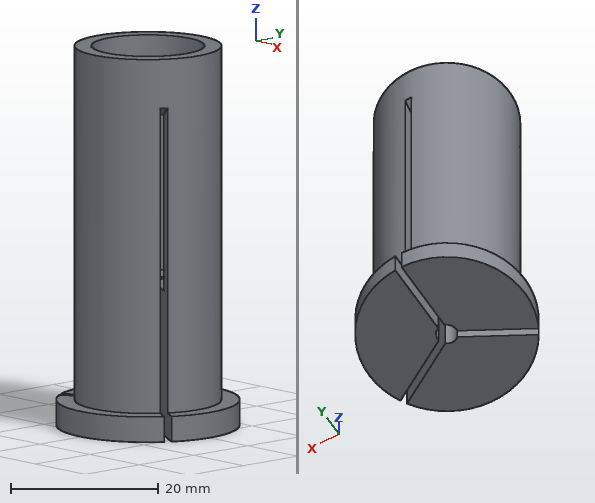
import cadquery as cq
import math

total_height = 52.5
flange_diameter = 25.0
flange_height = 3.5
body_diameter = 20.0

bore_diameter = 15.4
floor_height = 20.0
centre_hole_diameter = 3.0

slot_count = 3
slot_width = 1.0
slot_top = total_height - 6.75
slot_end_slope = 30.0
first_slot_angle = 90.0


def cylinder(diameter, bottom, top):
    return cq.Workplane("XY").workplane(offset=bottom).circle(diameter / 2).extrude(top - bottom)


def radial_slot(angle):
    """Cutter from the axis out past the flange; its end slopes down toward the axis."""
    body_radius = body_diameter / 2
    reach = flange_diameter / 2 + slot_width
    slope = math.tan(math.radians(slot_end_slope))
    profile = [
        (0, 0),
        (reach, 0),
        (reach, slot_top + (reach - body_radius) * slope),
        (0, slot_top - body_radius * slope),
    ]
    cutter = cq.Workplane("XZ").polyline(profile).close().extrude(slot_width / 2, both=True)
    return cutter.rotate((0, 0, 0), (0, 0, 1), angle)


result = cylinder(flange_diameter, 0, flange_height).union(cylinder(body_diameter, 0, total_height))
result = result.cut(cylinder(bore_diameter, floor_height, total_height))
result = result.cut(cylinder(centre_hole_diameter, 0, floor_height))

for index in range(slot_count):
    result = result.cut(radial_slot(first_slot_angle + index * 360 / slot_count))